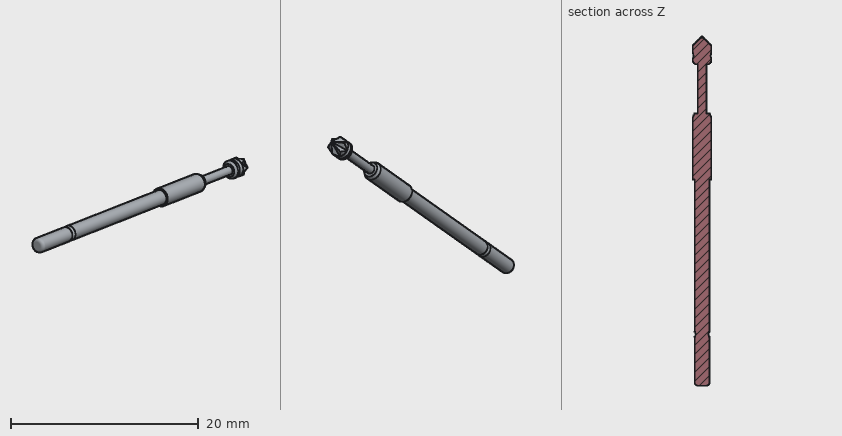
import cadquery as cq
import math

total_length = 37.3

ridge_count = 6
head_radius = 1.0
ridge_slope = 1.0
star_length = 1.8

head_groove_start = 1.83
head_groove_end = 2.4
head_groove_depth = 0.07
head_length = 3.02
head_chamfer = 0.3

rod_radius = 0.5

sleeve_start = 8.25
sleeve_end = 15.3
sleeve_radius = head_radius
sleeve_nose_length = 0.45
sleeve_nose_step = 0.2
barrel_radius = 0.82

crimp_start = 31.5
crimp_end = 32.08
crimp_depth = 0.1
end_round = 0.37


def turned_probe():
    """Probe as a body of revolution about Y, with a plain cylindrical head."""
    head_groove_middle = (head_groove_start + head_groove_end) / 2
    crimp_middle = (crimp_start + crimp_end) / 2
    round_offset = end_round * math.sqrt(0.5)
    round_centre_radius = barrel_radius - end_round
    round_start = total_length - end_round
    half_profile = (
        cq.Workplane("XY")
        .lineTo(head_radius, 0)
        .lineTo(head_radius, -head_groove_start)
        .threePointArc(
            (head_radius - head_groove_depth, -head_groove_middle),
            (head_radius, -head_groove_end),
        )
        .lineTo(head_radius, -(head_length - head_chamfer))
        .lineTo(head_radius - head_chamfer, -head_length)
        .lineTo(rod_radius, -head_length)
        .lineTo(rod_radius, -sleeve_start)
        .lineTo(sleeve_radius - sleeve_nose_step, -sleeve_start)
        .lineTo(sleeve_radius, -(sleeve_start + sleeve_nose_length))
        .lineTo(sleeve_radius, -sleeve_end)
        .lineTo(barrel_radius, -sleeve_end)
        .lineTo(barrel_radius, -crimp_start)
        .threePointArc(
            (barrel_radius - crimp_depth, -crimp_middle),
            (barrel_radius, -crimp_end),
        )
        .lineTo(barrel_radius, -round_start)
        .threePointArc(
            (round_centre_radius + round_offset, -(round_start + round_offset)),
            (round_centre_radius, -total_length),
        )
        .lineTo(0, -total_length)
        .close()
    )
    return half_profile.revolve(360, (0, 0, 0), (0, 1, 0))


def star_pyramid():
    """Pyramid over a star: its valleys just reach the head surface at its base."""
    ridge_radius = star_length * ridge_slope
    corners = []
    for index in range(2 * ridge_count):
        radius = ridge_radius if index % 2 == 0 else head_radius
        angle = math.pi * index / ridge_count
        corners.append(cq.Vector(radius * math.cos(angle), -star_length, radius * math.sin(angle)))
    tip = cq.Vector(0, 0, 0)
    faces = [cq.Face.makeFromWires(cq.Wire.makePolygon(corners, close=True))]
    for index, corner in enumerate(corners):
        edge_loop = cq.Wire.makePolygon([tip, corners[index - 1], corner], close=True)
        faces.append(cq.Face.makeFromWires(edge_loop))
    return cq.Workplane(obj=cq.Solid.makeSolid(cq.Shell.makeShell(faces)))


def tip_blank():
    """Cylinder around the tip from which the star is left standing."""
    return cq.Workplane("XZ").circle(2 * head_radius).extrude(star_length)


result = turned_probe().cut(tip_blank().cut(star_pyramid()))